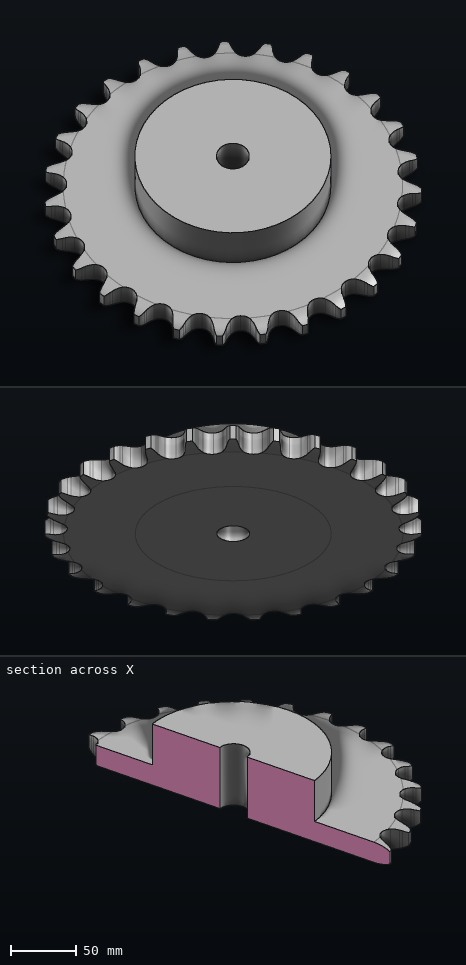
import math

import cadquery as cq

TOOTH_COUNT = 27
CHAIN_PITCH = 31.75
ROLLER_DIAMETER = 19.05
TIP_DIAMETER = 288.6
FIRST_TOOTH_ANGLE = -90.0
PLATE_THICKNESS = 18.5
SIDE_ARC_RADIUS = 32.0
SIDE_RELIEF = 3.5
HUB_DIAMETER = 150.0
BORE_DIAMETER = 25.0
TOTAL_HEIGHT = 55.0
CUT_MARGIN = 10.0

TOOTH_STEP = 360.0 / TOOTH_COUNT
PITCH_RADIUS = CHAIN_PITCH / (2.0 * math.sin(math.pi / TOOTH_COUNT))
TIP_RADIUS = TIP_DIAMETER / 2.0
SIDE_ARC_ANGLE = math.acos(1.0 - SIDE_RELIEF / SIDE_ARC_RADIUS)
FACE_RADIUS = TIP_RADIUS - SIDE_ARC_RADIUS * math.sin(SIDE_ARC_ANGLE)

SEAT_RATIO = 0.5025
WORKING_RATIO = 1.3025
WORKING_CENTRE_RATIO = 0.8
TOPPING_CENTRE_RATIO = 1.4
SEAT_CLEARANCE = 0.038
SEAT_END_SLOPE = 35.0 + 60.0 / TOOTH_COUNT
WORKING_ARC_ANGLE = 18.0 - 56.0 / TOOTH_COUNT
TOPPING_ANGLE = 17.0 - 64.0 / TOOTH_COUNT
SEAT_RADIUS = SEAT_RATIO * ROLLER_DIAMETER + SEAT_CLEARANCE
WORKING_RADIUS = WORKING_RATIO * ROLLER_DIAMETER + SEAT_CLEARANCE
WORKING_CENTRE_OFFSET = WORKING_CENTRE_RATIO * ROLLER_DIAMETER
TOPPING_CENTRE_OFFSET = TOPPING_CENTRE_RATIO * ROLLER_DIAMETER
TOPPING_CENTRE_SLOPE = TOOTH_STEP / 2.0
TOPPING_RADIUS = (
    WORKING_CENTRE_OFFSET * math.cos(math.radians(WORKING_ARC_ANGLE))
    + TOPPING_CENTRE_OFFSET * math.cos(math.radians(TOPPING_ANGLE))
    - WORKING_RADIUS
)


def offset_point(origin, distance, degrees):
    """Point at a distance from an origin, in a direction measured from +X."""
    angle = math.radians(degrees)
    return (origin[0] + distance * math.cos(angle), origin[1] + distance * math.sin(angle))


def mirrored(point):
    """The same point on the other side of the X axis."""
    return (point[0], -point[1])


def topping_arc_at_tip(centre):
    """Angle about the topping centre at which the topping arc meets the tip circle."""
    centre_distance = math.hypot(*centre)
    cosine = (TIP_RADIUS**2 - centre_distance**2 - TOPPING_RADIUS**2) / (
        2.0 * centre_distance * TOPPING_RADIUS
    )
    return math.degrees(math.atan2(centre[1], centre[0]) - math.acos(cosine))


def make_gap():
    """Solid filling one gap between teeth, centred on +X: seat, working arc, flat, topping arc."""
    roller = (PITCH_RADIUS, 0.0)
    seat_bottom = offset_point(roller, SEAT_RADIUS, 180.0)
    seat_end_angle = 90.0 + SEAT_END_SLOPE
    seat_end = offset_point(roller, SEAT_RADIUS, seat_end_angle)

    working_centre = offset_point(roller, -WORKING_CENTRE_OFFSET, seat_end_angle)
    flat_normal = seat_end_angle - WORKING_ARC_ANGLE
    working_mid = offset_point(working_centre, WORKING_RADIUS, (seat_end_angle + flat_normal) / 2.0)
    flat_start = offset_point(working_centre, WORKING_RADIUS, flat_normal)

    topping_centre = offset_point(roller, TOPPING_CENTRE_OFFSET, 90.0 + TOPPING_CENTRE_SLOPE)
    flat_end = offset_point(topping_centre, -TOPPING_RADIUS, flat_normal)
    tip_angle = topping_arc_at_tip(topping_centre)
    topping_mid = offset_point(topping_centre, TOPPING_RADIUS, (flat_normal - 180.0 + tip_angle) / 2.0)
    tip = offset_point(topping_centre, TOPPING_RADIUS, tip_angle)
    outer = (TIP_RADIUS + CUT_MARGIN, tip[1])
    return (
        cq.Workplane("XY")
        .moveTo(*seat_bottom)
        .radiusArc(seat_end, SEAT_RADIUS)
        .threePointArc(working_mid, flat_start)
        .lineTo(*flat_end)
        .threePointArc(topping_mid, tip)
        .lineTo(*outer)
        .lineTo(*mirrored(outer))
        .lineTo(*mirrored(tip))
        .threePointArc(mirrored(topping_mid), mirrored(flat_end))
        .lineTo(*mirrored(flat_start))
        .threePointArc(mirrored(working_mid), mirrored(seat_end))
        .radiusArc(seat_bottom, SEAT_RADIUS)
        .close()
        .extrude(PLATE_THICKNESS, clean=False)
    )


def make_plate_blank():
    """Disc whose rim curves in on both faces to the narrower tooth tips."""
    arc_drop = SIDE_ARC_RADIUS * (1.0 - math.cos(SIDE_ARC_ANGLE / 2.0))
    arc_mid_radius = FACE_RADIUS + SIDE_ARC_RADIUS * math.sin(SIDE_ARC_ANGLE / 2.0)
    return (
        cq.Workplane("XZ")
        .lineTo(FACE_RADIUS, 0.0)
        .threePointArc((arc_mid_radius, arc_drop), (TIP_RADIUS, SIDE_RELIEF))
        .lineTo(TIP_RADIUS, PLATE_THICKNESS - SIDE_RELIEF)
        .threePointArc(
            (arc_mid_radius, PLATE_THICKNESS - arc_drop),
            (FACE_RADIUS, PLATE_THICKNESS),
        )
        .lineTo(0.0, PLATE_THICKNESS)
        .close()
        .revolve(360.0, (0.0, 0.0), (0.0, 1.0))
    )


def cut_teeth(blank):
    """Remove the gaps so that one tooth points along the first tooth angle."""
    gap = make_gap()
    first_gap_angle = FIRST_TOOTH_ANGLE + TOOTH_STEP / 2.0
    gaps = [
        gap.rotate((0, 0, 0), (0, 0, 1), first_gap_angle + index * TOOTH_STEP).val()
        for index in range(TOOTH_COUNT)
    ]
    return blank.cut(cq.Compound.makeCompound(gaps), clean=False)


def make_sprocket():
    """Toothed plate with a hub on its upper face and a bore through both.

    Faces are left unmerged so that each tooth seat stays split at its lowest point.
    """
    hub = cq.Workplane("XY").circle(HUB_DIAMETER / 2.0).extrude(TOTAL_HEIGHT)
    bore = cq.Workplane("XY").circle(BORE_DIAMETER / 2.0).extrude(TOTAL_HEIGHT)
    return cut_teeth(make_plate_blank()).union(hub, clean=False).cut(bore, clean=False)


result = make_sprocket()